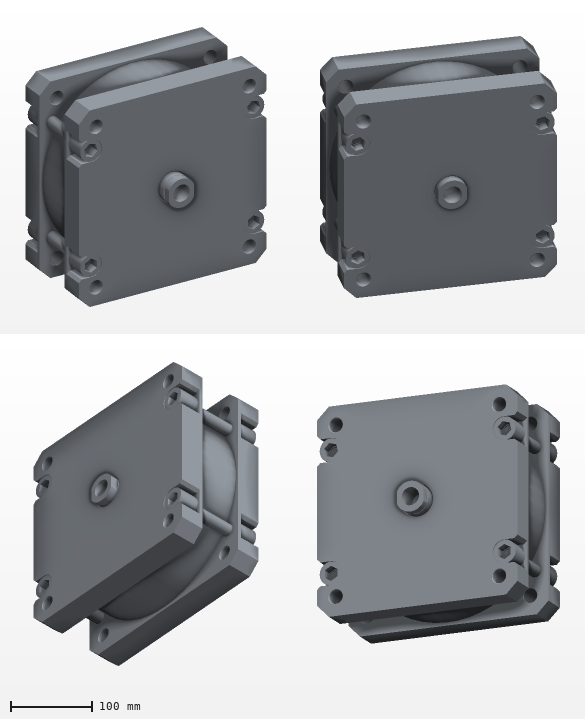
import cadquery as cq
import math

PLATE_SIDE = 270.0
PLATE_THICKNESS = 34.0
PLATE_CORNER_CHAMFER = 15.7
MOUNT_HOLE_OFFSET = 110.2
MOUNT_HOLE_DIAMETER = 17.8
MOUNT_HOLE_CHAMFER = 0.8

TUBE_LENGTH = 60.0
TUBE_DIAMETER = 262.0

BOLT_Y = 117.0
BOLT_Z = 79.0
BOLT_SHANK_DIAMETER = 16.2
BOLT_HEAD_DIAMETER = 30.5
BOLT_HEAD_RECESS = 1.0
HEX_ACROSS_CORNERS = 19.5
HEX_DEPTH = 13.5
UPPER_HEX_ANGLE = 45.0
LOWER_HEX_ANGLE = 30.0
PILOT_DIAMETER = 15.0
PILOT_DEPTH = 14.8

SLOT_DEPTH = 29.2
SLOT_MOUTH_CHAMFER = 4.0

ROD_DIAMETER = 40.0
ROD_BORE_CHAMFER = 1.0
ROD_TIP_DIAMETER = 39.5
ROD_TIP_LENGTH = 11.0
ROD_COLLAR_LENGTH = 10.0
FLAT_LENGTH = 10.0
FLAT_WIDTH = 36.0
ROD_HOLE_DIAMETER = 23.2
ROD_HOLE_DEPTH = 32.5
DRILL_POINT_ANGLE = 118.0

PLATE_INNER_X = TUBE_LENGTH / 2
PLATE_OUTER_X = PLATE_INNER_X + PLATE_THICKNESS
SLOT_FLOOR_X = PLATE_OUTER_X - SLOT_DEPTH
HEAD_OUTER_X = PLATE_OUTER_X - BOLT_HEAD_RECESS
ROD_LEFT_X = -PLATE_OUTER_X - ROD_TIP_LENGTH
ROD_RIGHT_X = PLATE_OUTER_X + ROD_COLLAR_LENGTH + ROD_TIP_LENGTH

BOLT_CENTRES = [(side * BOLT_Y, level * BOLT_Z) for side in (-1, 1) for level in (-1, 1)]


def section(x):
    """Sketch plane across the X axis, with its local axes along Y and Z."""
    return cq.Workplane("YZ", origin=(x, 0, 0))


def cylinder(x_start, x_end, diameter, centre=(0, 0)):
    return section(x_start).center(*centre).circle(diameter / 2).extrude(x_end - x_start)


def slot_cutter(centre):
    """Slot around a bolt head, round inside, with a flared mouth at the plate side."""
    centre_y, centre_z = centre
    radius = BOLT_HEAD_DIAMETER / 2
    edge_y = PLATE_SIDE / 2
    flare_y = edge_y - SLOT_MOUTH_CHAMFER
    flare_z = radius + SLOT_MOUTH_CHAMFER
    cutter = (
        section(SLOT_FLOOR_X)
        .moveTo(BOLT_Y, radius)
        .lineTo(flare_y, radius)
        .lineTo(edge_y, flare_z)
        .lineTo(edge_y, -flare_z)
        .lineTo(flare_y, -radius)
        .lineTo(BOLT_Y, -radius)
        .threePointArc((BOLT_Y - radius, 0), (BOLT_Y, radius))
        .close()
        .extrude(SLOT_DEPTH)
    )
    if centre_y < 0:
        cutter = cutter.mirror("XZ")
    return cutter.translate((0, 0, centre_z))


def make_right_plate():
    """Square plate with corner mounting holes, a rod bore, bolt holes and bolt-head slots."""
    plate = (
        section(PLATE_INNER_X)
        .rect(PLATE_SIDE, PLATE_SIDE)
        .extrude(PLATE_THICKNESS)
        .edges("|X")
        .chamfer(PLATE_CORNER_CHAMFER)
    )
    mount_holes = (
        section(PLATE_INNER_X)
        .rect(2 * MOUNT_HOLE_OFFSET, 2 * MOUNT_HOLE_OFFSET, forConstruction=True)
        .vertices()
        .circle(MOUNT_HOLE_DIAMETER / 2)
        .extrude(PLATE_THICKNESS)
    )
    plate = plate.cut(mount_holes)
    plate = plate.edges("%CIRCLE").chamfer(MOUNT_HOLE_CHAMFER)

    plate = plate.cut(cylinder(PLATE_INNER_X, PLATE_OUTER_X, ROD_DIAMETER))
    rod_bore_rim = cq.selectors.NearestToPointSelector((PLATE_OUTER_X, 0, 0))
    plate = plate.edges(rod_bore_rim).chamfer(ROD_BORE_CHAMFER)
    for centre in BOLT_CENTRES:
        plate = plate.cut(slot_cutter(centre))
        plate = plate.cut(cylinder(PLATE_INNER_X, PLATE_OUTER_X, BOLT_SHANK_DIAMETER, centre))
    return plate


def make_tube():
    tube = cylinder(-PLATE_INNER_X, PLATE_INNER_X, TUBE_DIAMETER)
    return tube.cut(cylinder(-PLATE_INNER_X, PLATE_INNER_X, ROD_DIAMETER))


def head_socket(outer_x, hex_angle):
    """Hexagon socket, with a slightly deeper round pilot hole in its floor."""
    inward = math.copysign(1, -outer_x)
    hexagon = section(outer_x).polygon(6, HEX_ACROSS_CORNERS).extrude(inward * HEX_DEPTH)
    hexagon = hexagon.rotate((0, 0, 0), (1, 0, 0), hex_angle)
    return hexagon.union(cylinder(outer_x, outer_x + inward * PILOT_DEPTH, PILOT_DIAMETER))


def make_tie_bolt(centre):
    hex_angle = UPPER_HEX_ANGLE if centre[1] > 0 else LOWER_HEX_ANGLE
    bolt = cylinder(-SLOT_FLOOR_X, SLOT_FLOOR_X, BOLT_SHANK_DIAMETER)
    for outer_x in (-HEAD_OUTER_X, HEAD_OUTER_X):
        floor_x = math.copysign(SLOT_FLOOR_X, outer_x)
        head = cylinder(floor_x, outer_x, BOLT_HEAD_DIAMETER)
        bolt = bolt.union(head.cut(head_socket(outer_x, hex_angle)))
    return bolt.translate((0, *centre))


def rod_hole(end_x):
    """Blind hole with a drill point, going in from one end of the rod."""
    inward = math.copysign(1, -end_x)
    radius = ROD_HOLE_DIAMETER / 2
    point_length = radius / math.tan(math.radians(DRILL_POINT_ANGLE / 2))
    wall_end_x = end_x + inward * ROD_HOLE_DEPTH
    return (
        cq.Workplane("XZ")
        .polyline([
            (end_x, 0),
            (end_x, radius),
            (wall_end_x, radius),
            (wall_end_x + inward * point_length, 0),
        ])
        .close()
        .revolve(360, (0, 0), (1, 0))
    )


def rod_tip(end_x):
    """Slightly thinner rod end with two wrench flats, facing +Y and -Y."""
    inward = math.copysign(1, -end_x)
    flat_end_x = end_x + inward * FLAT_LENGTH
    tip_end_x = end_x + inward * ROD_TIP_LENGTH
    flat_bounds = section(end_x).rect(FLAT_WIDTH, ROD_TIP_DIAMETER).extrude(inward * FLAT_LENGTH)
    flatted_end = cylinder(end_x, flat_end_x, ROD_TIP_DIAMETER).intersect(flat_bounds)
    return flatted_end.union(cylinder(flat_end_x, tip_end_x, ROD_TIP_DIAMETER))


def make_rod():
    rod = cylinder(ROD_LEFT_X + ROD_TIP_LENGTH, ROD_RIGHT_X - ROD_TIP_LENGTH, ROD_DIAMETER)
    for end_x in (ROD_LEFT_X, ROD_RIGHT_X):
        rod = rod.union(rod_tip(end_x)).cut(rod_hole(end_x))
    return rod


right_plate = make_right_plate()
left_plate = right_plate.mirror("YZ")
tube = make_tube()
rod = make_rod()
tie_bolts = [make_tie_bolt(centre) for centre in BOLT_CENTRES]

result = cq.Compound.makeCompound([
    left_plate.val(),
    right_plate.val(),
    tube.val(),
    rod.val(),
    *[bolt.val() for bolt in tie_bolts],
])